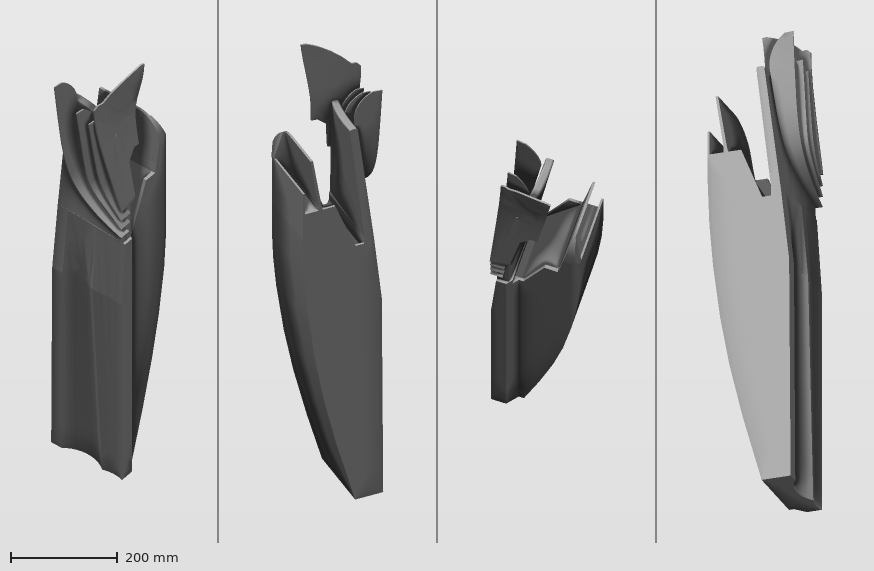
import cadquery as cq
import math

DEPTH = 167.61
HEIGHT = 968.85
FIN_REACH = 170.35
WIDTH = 168.7
UPPER_WIDTH = 150.0
WAIST_WIDTH = 147.5
FLANGE_DEPTH = 32.0
FLANGE_TAPER = 18.0
CORNER = 14.0
FRONT_Y = 2.0

BOTTOM_DEPTH = 60.0
REAR_CURVE = ((87, 95), (114, 200), (136, 305), (154, 427), (165, 550), (DEPTH, 625))

STRIP_WIDTH = 25.0
GROOVE_PEAK = 0.4
FRONT_BOTTOM = (FRONT_Y, 18, 2, 6, FRONT_Y, 122)
FRONT_MIDDLE = (5, 16, 3, 7, FRONT_Y, 97)
FRONT_TOP = (22, 19.2, 16.2, 14, 12, 97)
GROOVE_TOP = 445.0
PANEL_BASE = 595.0
PANEL_TOP = 848.0
PANEL_DROP = 17.0
PANEL_FOOT_X = 163.0
PANEL_HEAD_X = 125.0
PANEL_EDGE_ROUND = 4.0
FOOT_OUTER = (22, 18, 12)
FOOT_INNER = (41, 40, 36)
HEAD_OUTER = (55, 49, 24)
HEAD_INNER = (71, 65, 34)
PANEL_SHOULDER = 708.0

LEDGE_Z = 683.0
SLOT_FLOOR = 580.0
SLOT_FRONT = 41.0
SLOT_BACK = 59.0
LEDGE_FRONT = 101.0

POCKET_FLOOR = 560.0
POCKET_FLOOR_FRONT = 38.0
POCKET_FLOOR_BACK = 52.0
POCKET_START = 5.0
POCKET_END = 142.0
POCKET_CORNER = 6.0
POCKET_BACK = 127.0

BACK_WALL_TOP = 730.0
BACK_WALL = 4.0
LIP_TOP = 800.0
LIP_FOOT_Y = 131.0
LIP_HEAD_Y = 147.0
LIP_THICKNESS = 5.0
LIP_SINK = 10.0
LIP_BEND_X = 87.0
LIP_END_Z = 740.0
LIP_BEND_MID = (131.0, 784.0)
END_WALL_FRONT_X = 100.0
END_WALL_BACK_X = 130.0

BLADE_THICKNESS = 2.5
BLADE_LEAN = 8.0
BLADE_SPAN = 60.0
BLADE_FOOT = 600.0
BLADE_FOOT_DEPTH = 22.0
BLADE_ROUND = 60.0
BLADE_ROUND_DROP = 22.0
FIN_THICKNESS = 3.5
MARGIN = 60.0
SIDE_MARGIN = 1.0

BLADES = (
    (52.0, ((9, 914), (16, 858), (28.7, 768), (60, 690), (95, 657), (168, 620))),
    (48.0, ((61.7, 877), (71.5, 819), (80, 764), (93, 716), (123, 680), (168, 641))),
    (42.0, ((91, 866), (98.7, 823), (108.4, 768), (122, 725), (145, 689), (168, 663))),
)

FIN_FRONT = ((117, 980), (104, 904), (110, 858), (119, 825), (138, 770), (169, 687))
FIN_BACK = ((134, 980), (133, 904), (129, 850), (135, 820), (151, 765), (180, 700))
FIN_SPAN = 109.0
FIN_FOOT = 650.0
FIN_SHOULDER = 917.0
FIN_STEP = 785.0
FIN_TIP_CURVE = ((18, FIN_SHOULDER), (64, 953), (100, HEIGHT))
FIN_TIP_BACK = ((FIN_SPAN, HEIGHT), (96, 865), (85, FIN_STEP))
FIN_LOWER_BACK = ((73, FIN_STEP), (52, 765), (30, FIN_FOOT))
FIN_CORNER = 8.0


def side_prism(workplane, x_start, x_end):
    """Extrude a closed (y, z) outline along X."""
    return workplane.close().extrude(x_end - x_start).translate((x_start, 0, 0))


def plan_outline():
    """Tall prism with the body's outline in plan."""
    inset = CORNER * (1 - math.sqrt(0.5))
    return (
        cq.Workplane("XY")
        .lineTo(WIDTH, 0)
        .lineTo(WIDTH, FLANGE_DEPTH)
        .lineTo(WAIST_WIDTH, FLANGE_DEPTH + FLANGE_TAPER)
        .lineTo(UPPER_WIDTH, DEPTH - CORNER)
        .threePointArc((UPPER_WIDTH - inset, DEPTH - inset), (UPPER_WIDTH - CORNER, DEPTH))
        .lineTo(0, DEPTH)
        .close()
        .extrude(HEIGHT)
    )


def body_blank():
    """Side profile with the curved rear and the slot behind the panel."""
    profile = (
        cq.Workplane("YZ")
        .moveTo(FRONT_Y, 0)
        .lineTo(BOTTOM_DEPTH, 0)
        .spline(REAR_CURVE, includeCurrent=True)
        .lineTo(DEPTH, LEDGE_Z)
        .lineTo(LEDGE_FRONT, LEDGE_Z)
        .lineTo(SLOT_BACK, SLOT_FLOOR)
        .lineTo(SLOT_FRONT, SLOT_FLOOR)
        .lineTo(SLOT_FRONT, PANEL_BASE)
        .lineTo(FRONT_Y, PANEL_BASE)
    )
    return side_prism(profile, 0, WIDTH).intersect(plan_outline())


def front_section(z, shape):
    """Closed section in front of the body: flat strip, groove, then a shallow flute."""
    inner_y, groove_y, ridge_y, flute_y, outer_y, ridge_x = shape
    groove_x = STRIP_WIDTH + GROOVE_PEAK * (ridge_x - STRIP_WIDTH)
    flute_x = (ridge_x + WIDTH) / 2
    strip_y = inner_y + (outer_y - inner_y) * STRIP_WIDTH / WIDTH
    points = [cq.Vector(*p, z) for p in (
        (-SIDE_MARGIN, inner_y), (STRIP_WIDTH, strip_y), (groove_x, groove_y),
        (ridge_x, ridge_y), (flute_x, flute_y), (WIDTH + SIDE_MARGIN, outer_y),
        (WIDTH + SIDE_MARGIN, -MARGIN), (-SIDE_MARGIN, -MARGIN),
    )]
    start, strip, groove, ridge, flute, end, far_end, far_start = points
    return cq.Wire.assembleEdges([
        cq.Edge.makeLine(start, strip),
        cq.Edge.makeThreePointArc(strip, groove, ridge),
        cq.Edge.makeThreePointArc(ridge, flute, end),
        cq.Edge.makeLine(end, far_end),
        cq.Edge.makeLine(far_end, far_start),
        cq.Edge.makeLine(far_start, start),
    ])


def front_cutters():
    """Space removed from the front: a tapering groove that fades into the panel's foot."""
    bottom = front_section(0, FRONT_BOTTOM)
    middle = front_section(GROOVE_TOP, FRONT_MIDDLE)
    top = front_section(PANEL_BASE, FRONT_TOP)
    lower = cq.Solid.makeLoft([bottom, middle], True)
    upper = cq.Solid.makeLoft([middle, top], True)
    return lower, upper


def panel_section(workplane, end_x, outer, inner):
    """Curved strip; outer and inner hold the y at its start, middle and end."""
    return (
        workplane.moveTo(0, outer[0])
        .threePointArc((end_x / 2, outer[1]), (end_x, outer[2]))
        .lineTo(end_x, inner[2])
        .threePointArc((end_x / 2, inner[1]), (0, inner[0]))
        .close()
    )


def front_panel():
    """Leaning, curved panel trimmed by its slanted end and falling top edge."""
    floor = cq.Workplane("XY", origin=(0, 0, PANEL_BASE))
    base = panel_section(floor, PANEL_FOOT_X, FOOT_OUTER, FOOT_INNER)
    head = base.workplane(offset=PANEL_TOP - PANEL_BASE)
    panel = panel_section(head, PANEL_FOOT_X, HEAD_OUTER, HEAD_INNER).loft(ruled=True)
    outline = (
        cq.Workplane("XZ")
        .moveTo(0, PANEL_BASE)
        .lineTo(PANEL_FOOT_X, PANEL_BASE)
        .lineTo(PANEL_FOOT_X, PANEL_SHOULDER)
        .lineTo(PANEL_HEAD_X, PANEL_TOP - PANEL_DROP)
        .threePointArc((PANEL_HEAD_X / 2, PANEL_TOP - PANEL_DROP / 4), (0, PANEL_TOP))
        .close()
        .extrude(-DEPTH)
    )
    band_start = (0, 0, PANEL_TOP - 2 * PANEL_DROP)
    band_end = (PANEL_FOOT_X, DEPTH, HEIGHT)
    top_edges = panel.intersect(outline).edges(cq.selectors.BoxSelector(band_start, band_end))
    return top_edges.edges("not(|Y)").fillet(PANEL_EDGE_ROUND)


def deep_pocket():
    """Pocket under the slot, stopping short of both ends of the body."""
    profile = cq.Workplane("YZ").polyline([
        (SLOT_FRONT, LEDGE_Z),
        (SLOT_FRONT, SLOT_FLOOR),
        (POCKET_FLOOR_FRONT, POCKET_FLOOR),
        (POCKET_FLOOR_BACK, POCKET_FLOOR),
        (POCKET_BACK, LEDGE_Z),
    ])
    plan = (
        cq.Workplane("XY")
        .rect(POCKET_END - POCKET_START, DEPTH)
        .extrude(HEIGHT)
        .edges("|Z")
        .fillet(POCKET_CORNER)
        .translate(((POCKET_START + POCKET_END) / 2, POCKET_BACK - DEPTH / 2, 0))
    )
    return side_prism(profile, POCKET_START, POCKET_END).intersect(plan)


def rear_trough():
    """Thin back wall and leaning lip with a trough between, closed at the outer end."""
    wall_y = DEPTH - BACK_WALL
    foot_z = LEDGE_Z - LIP_SINK
    wall = cq.Workplane("YZ").polyline([
        (wall_y, foot_z), (DEPTH, foot_z), (DEPTH, BACK_WALL_TOP), (wall_y, BACK_WALL_TOP),
    ])
    lip_back = LIP_HEAD_Y + LIP_THICKNESS
    lip = cq.Workplane("YZ").polyline([
        (POCKET_BACK, foot_z),
        (POCKET_BACK, LEDGE_Z),
        (LIP_FOOT_Y, LEDGE_Z + 2 * LIP_SINK),
        (LIP_HEAD_Y, LIP_TOP),
        (lip_back, LIP_TOP),
        (LIP_FOOT_Y + LIP_THICKNESS, LEDGE_Z + LIP_SINK),
        (LIP_FOOT_Y + LIP_THICKNESS, foot_z),
    ])
    end_wall = cq.Workplane("YZ").polyline([
        (LIP_FOOT_Y, foot_z),
        (LIP_FOOT_Y, LEDGE_Z + 2 * LIP_SINK),
        (LIP_HEAD_Y, LIP_TOP),
        (lip_back, LIP_TOP),
        (DEPTH, BACK_WALL_TOP),
        (DEPTH, foot_z),
    ])
    end_plan = (
        cq.Workplane("XY")
        .polyline([
            (END_WALL_FRONT_X, LIP_FOOT_Y),
            (UPPER_WIDTH, LIP_FOOT_Y),
            (UPPER_WIDTH, DEPTH),
            (END_WALL_BACK_X, DEPTH),
        ])
        .close()
        .extrude(HEIGHT)
    )
    trough = (
        side_prism(wall, 0, UPPER_WIDTH)
        .union(side_prism(lip, 0, UPPER_WIDTH))
        .union(side_prism(end_wall, 0, UPPER_WIDTH).intersect(end_plan))
    )
    outline = (
        cq.Workplane("XZ")
        .moveTo(0, foot_z)
        .lineTo(UPPER_WIDTH, foot_z)
        .lineTo(UPPER_WIDTH, LIP_END_Z)
        .threePointArc(LIP_BEND_MID, (LIP_BEND_X, LIP_TOP))
        .lineTo(0, LIP_TOP)
        .close()
        .extrude(-DEPTH)
    )
    return trough.intersect(outline).intersect(plan_outline())


def strip_wire(path, y, thickness):
    """Closed wire around a curved strip of constant X thickness at depth y."""
    half = thickness / 2
    left = [cq.Vector(x - half, y, z) for x, z in path]
    right = [cq.Vector(x + half, y, z) for x, z in path]
    return cq.Wire.assembleEdges([
        cq.Edge.makeSpline(left),
        cq.Edge.makeLine(left[-1], right[-1]),
        cq.Edge.makeSpline(right[::-1]),
        cq.Edge.makeLine(right[0], left[0]),
    ])


def blade(depth, path):
    """Curved guide blade on the panel, with a rounded upper back corner."""
    top = path[0][1]
    last = len(path) - 1
    shifted = [(x + BLADE_LEAN * (1 - i / last), z) for i, (x, z) in enumerate(path)]
    sheet = cq.Solid.makeLoft([
        strip_wire(path, 0, BLADE_THICKNESS),
        strip_wire(shifted, BLADE_SPAN, BLADE_THICKNESS),
    ], True)
    profile = (
        cq.Workplane("YZ")
        .moveTo(0, BLADE_FOOT)
        .lineTo(0, top)
        .lineTo(0.35 * depth, top)
        .threePointArc((0.8 * depth, top - BLADE_ROUND_DROP), (depth, top - BLADE_ROUND))
        .lineTo(BLADE_FOOT_DEPTH, BLADE_FOOT)
    )
    return cq.Workplane(sheet).intersect(side_prism(profile, 0, WIDTH))


def tall_fin():
    """Twisted fin along the panel's outer edge, rising above it in a swept tip."""
    sheet = cq.Solid.makeLoft([
        strip_wire(FIN_FRONT, 0, FIN_THICKNESS),
        strip_wire(FIN_BACK, FIN_SPAN, FIN_THICKNESS),
    ], True)
    profile = (
        cq.Workplane("YZ")
        .moveTo(0, FIN_FOOT)
        .lineTo(0, FIN_SHOULDER - FIN_CORNER)
        .lineTo(FIN_CORNER, FIN_SHOULDER)
        .lineTo(*FIN_TIP_CURVE[0])
        .threePointArc(*FIN_TIP_CURVE[1:])
    )
    for point in FIN_TIP_BACK + FIN_LOWER_BACK:
        profile = profile.lineTo(*point)
    return cq.Workplane(sheet).intersect(side_prism(profile, 0, FIN_REACH))


body = body_blank()
for cutter in front_cutters():
    body = body.cut(cq.Workplane(cutter))
body = body.cut(deep_pocket()).union(rear_trough()).union(front_panel())
for blade_depth, blade_path in BLADES:
    body = body.union(blade(blade_depth, blade_path))
result = body.union(tall_fin())